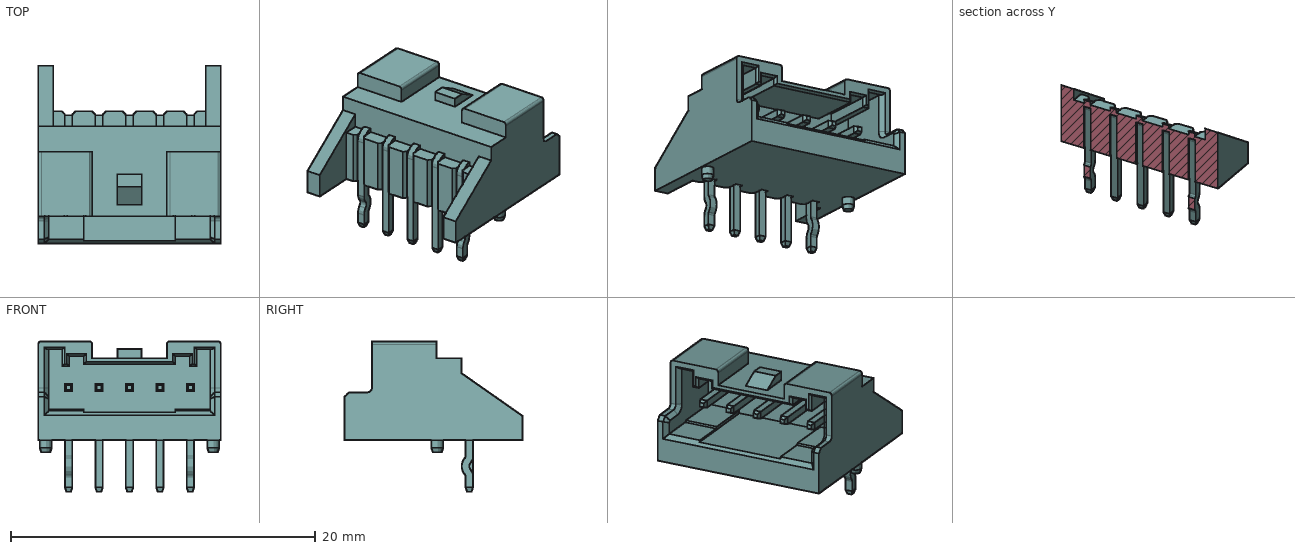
import cadquery as cq
import math


WIDTH = 12.0
LENGTH = 11.7
HALF_WIDTH = WIDTH / 2
EAR_TOP = 6.5
ROOF_TOP = 5.4
ROOF_FRONT = 1.8
EAR_BACK = 6.05
BODY_BACK = 7.7
LIP_TOP = 3.15
LIP_RELIEF = 0.3
EAR_GAP = 4.9
EAR_RADIUS = 0.2
WING_THICKNESS = 1.0
WING_FRONT_HEIGHT = 4.4
WING_BACK_HEIGHT = 1.6

LATCH_WIDTH = 1.6
LATCH_HEIGHT = 0.6
LATCH_FRONT = 2.55
LATCH_CREST = 3.75
LATCH_BACK = 4.55

CAVITY_HALF_WIDTH = 5.3
CAVITY_BACK = 5.8
FLOOR_Z = 1.83
FLOOR_STEP = 0.1
FLOOR_RAMP_FRONT = 2.55
CENTRE_HALF_WIDTH = 3.0
CENTRE_CEILING = 5.0
MID_CEILING = 5.52
SIDE_CEILING = 5.97
RIB_INNER = 3.97
RIB_WIDTH = 0.45
RIB_BOTTOM = 4.85
WALL_CHAMFER = 0.3
CEILING_CHAMFER = 0.15

PIN_COUNT = 5
PITCH = 2.0
PIN_SIZE = 0.5
PIN_Z = 3.47
PIN_FRONT = 2.4
TAIL_Y = 8.2
TAIL_BOTTOM = -3.4
TIP_LENGTH = 0.3
TIP_SIZE = 0.3
BEND_INNER_RADIUS = 0.25
KINK_Z = -1.71
KINK_DEPTH = 0.25
KINK_CREST_RADIUS = 0.85
KINK_ROOT_RADIUS = 0.2

COMB_BACK = 8.7
COMB_TOP = PIN_Z
COMB_CHAMFER = 0.2

PEG_DIAMETER = 0.8
PEG_LENGTH = 0.8
PEG_TIP_DIAMETER = 0.6
PEG_TIP_LENGTH = 0.3
PEG_X = 5.5
PEG_Y = 6.1

TOLERANCE = 1e-3

PIN_XS = [(i - (PIN_COUNT - 1) / 2) * PITCH for i in range(PIN_COUNT)]


def box(x0, x1, y0, y1, z0, z1):
    """Box between opposite corners."""
    return cq.Workplane("XY").box(x1 - x0, y1 - y0, z1 - z0, centered=False).translate((x0, y0, z0))


def yz_prism(sketch, x_centre, thickness):
    """Extrude a closed YZ outline symmetrically about x_centre."""
    return sketch.extrude(thickness / 2, both=True).translate((x_centre, 0, 0))


def make_body():
    """Main block with the stepped front lip."""
    outline = (
        cq.Workplane("YZ")
        .lineTo(BODY_BACK, 0)
        .lineTo(BODY_BACK, ROOF_TOP)
        .lineTo(ROOF_FRONT, ROOF_TOP)
        .lineTo(ROOF_FRONT, LIP_TOP + LIP_RELIEF)
        .radiusArc((ROOF_FRONT - LIP_RELIEF, LIP_TOP), LIP_RELIEF)
        .lineTo(LIP_RELIEF, LIP_TOP)
        .lineTo(0, LIP_TOP - LIP_RELIEF)
        .close()
    )
    return yz_prism(outline, 0, WIDTH)


def make_ear(side):
    """Raised block over one end of the roof, with rounded top edges."""
    ear_width = (WIDTH - EAR_GAP) / 2
    ear_centre = side * (HALF_WIDTH - ear_width / 2)
    ear = box(
        ear_centre - ear_width / 2, ear_centre + ear_width / 2,
        ROOF_FRONT, EAR_BACK, LIP_TOP + LIP_RELIEF, EAR_TOP,
    )
    return ear.edges("|Y and >Z").fillet(EAR_RADIUS)


def make_wing(side):
    """Sloping side plate behind the block."""
    outline = (
        cq.Workplane("YZ")
        .moveTo(BODY_BACK, 0)
        .lineTo(LENGTH, 0)
        .lineTo(LENGTH, WING_BACK_HEIGHT)
        .lineTo(BODY_BACK, WING_FRONT_HEIGHT)
        .close()
    )
    return yz_prism(outline, side * (HALF_WIDTH - WING_THICKNESS / 2), WING_THICKNESS)


def make_comb():
    """Rear wall between the wings, slotted around each tail."""
    reach = HALF_WIDTH - WING_THICKNESS
    comb = box(-reach, reach, BODY_BACK, COMB_BACK, 0, COMB_TOP)
    for x in PIN_XS:
        half_slot = PIN_SIZE / 2
        half_mouth = half_slot + COMB_CHAMFER
        slot = (
            cq.Workplane("XY")
            .moveTo(x - half_slot, BODY_BACK)
            .lineTo(x + half_slot, BODY_BACK)
            .lineTo(x + half_slot, COMB_BACK - COMB_CHAMFER)
            .lineTo(x + half_mouth, COMB_BACK)
            .lineTo(x - half_mouth, COMB_BACK)
            .lineTo(x - half_slot, COMB_BACK - COMB_CHAMFER)
            .close()
            .extrude(COMB_TOP)
        )
        comb = comb.cut(slot)
    return comb


def make_latch():
    """Ramped latch on the middle of the roof."""
    outline = (
        cq.Workplane("YZ")
        .moveTo(LATCH_FRONT, ROOF_TOP)
        .lineTo(LATCH_CREST, ROOF_TOP + LATCH_HEIGHT)
        .lineTo(LATCH_BACK, ROOF_TOP + LATCH_HEIGHT)
        .lineTo(LATCH_BACK, ROOF_TOP)
        .close()
    )
    return yz_prism(outline, 0, LATCH_WIDTH)


def make_cavity():
    """Mating cavity: stepped ceiling with two ribs, raised side floors."""
    half = CAVITY_HALF_WIDTH
    cavity = box(-half, half, 0, CAVITY_BACK, FLOOR_Z, CENTRE_CEILING)
    rib_outer = RIB_INNER + RIB_WIDTH
    for side in (-1, 1):
        side_floor = (
            cq.Workplane("YZ")
            .moveTo(0, FLOOR_Z)
            .lineTo(CAVITY_BACK, FLOOR_Z)
            .lineTo(CAVITY_BACK, FLOOR_Z + 2 * FLOOR_STEP)
            .lineTo(FLOOR_RAMP_FRONT + FLOOR_STEP, FLOOR_Z + 2 * FLOOR_STEP)
            .lineTo(FLOOR_RAMP_FRONT, FLOOR_Z + FLOOR_STEP)
            .lineTo(0, FLOOR_Z + FLOOR_STEP)
            .close()
        )
        floor_width = half - CENTRE_HALF_WIDTH
        cavity = cavity.cut(yz_prism(side_floor, side * (half - floor_width / 2), floor_width))
        for inner, outer, ceiling in (
            (CENTRE_HALF_WIDTH, RIB_INNER, MID_CEILING),
            (rib_outer, half, SIDE_CEILING),
        ):
            x0, x1 = sorted((side * inner, side * outer))
            cavity = cavity.union(box(x0, x1, 0, CAVITY_BACK, RIB_BOTTOM, ceiling))
        x0, x1 = sorted((side * RIB_INNER, side * rib_outer))
        cavity = cavity.cut(box(x0, x1, 0, CAVITY_BACK, RIB_BOTTOM, SIDE_CEILING))
    return cavity


def is_ceiling_rim(edge):
    """True for the edges where the stepped ceiling and its ribs meet the roof front."""
    bounds = edge.BoundingBox()
    centre = edge.Center()
    on_roof_front = max(abs(bounds.ymin - ROOF_FRONT), abs(bounds.ymax - ROOF_FRONT)) < TOLERANCE
    on_roof_edge = abs(centre.z - ROOF_TOP) < TOLERANCE and abs(centre.x) < TOLERANCE
    in_height = bounds.zmin > RIB_BOTTOM - TOLERANCE and bounds.zmax < SIDE_CEILING + TOLERANCE
    in_width = abs(centre.x) < CAVITY_HALF_WIDTH - TOLERANCE
    return on_roof_front and in_height and in_width and not on_roof_edge


def chamfer_ceiling(housing):
    """Narrow lead-in chamfer along the whole ceiling outline."""
    solid = housing.val()
    rim = [edge for edge in solid.Edges() if is_ceiling_rim(edge)]
    return cq.Workplane(solid.chamfer(CEILING_CHAMFER, None, rim))


def lip_clearance(x, growth):
    """YZ outline of the open space in front of a side wall, grown into the wall, at the given X."""
    back = ROOF_FRONT + growth
    lip = LIP_TOP - growth
    fillet = LIP_RELIEF + growth
    mitre = (math.sqrt(2) - 1) * growth
    return (
        cq.Workplane("YZ", origin=(x, 0, 0))
        .moveTo(growth, 0)
        .lineTo(growth, LIP_TOP - LIP_RELIEF - mitre)
        .lineTo(LIP_RELIEF + mitre, lip)
        .lineTo(back - fillet, lip)
        .radiusArc((back, lip + fillet), -fillet)
        .lineTo(back, EAR_TOP)
        .lineTo(-WALL_CHAMFER, EAR_TOP)
        .lineTo(-WALL_CHAMFER, 0)
        .close()
    )


def make_wall_flare(side):
    """Wide lead-in chamfer of one side wall, limited by the floor wedge and the ceiling chamfer."""
    inner_x = side * CAVITY_HALF_WIDTH
    outer_x = side * (CAVITY_HALF_WIDTH + WALL_CHAMFER)
    inner = lip_clearance(inner_x, WALL_CHAMFER).wires().val()
    outer = lip_clearance(outer_x, 0).wires().val()
    flare = cq.Workplane(cq.Solid.makeLoft([inner, outer], True))
    floor = FLOOR_Z + FLOOR_STEP
    height_limit = (
        cq.Workplane("YZ")
        .moveTo(-WALL_CHAMFER, floor - 2 * WALL_CHAMFER)
        .lineTo(WALL_CHAMFER, floor)
        .lineTo(CAVITY_BACK, floor)
        .lineTo(CAVITY_BACK, SIDE_CEILING)
        .lineTo(ROOF_FRONT + CEILING_CHAMFER, SIDE_CEILING)
        .lineTo(ROOF_FRONT, SIDE_CEILING + CEILING_CHAMFER)
        .lineTo(-WALL_CHAMFER, SIDE_CEILING + CEILING_CHAMFER)
        .close()
    )
    return flare.intersect(yz_prism(height_limit, 0, WIDTH))


def make_floor_wedge():
    """Lead-in chamfer along the front edge of the floor."""
    floor = FLOOR_Z + FLOOR_STEP
    wedge = (
        cq.Workplane("YZ")
        .moveTo(0, floor - WALL_CHAMFER)
        .lineTo(WALL_CHAMFER, floor)
        .lineTo(0, floor)
        .close()
    )
    return yz_prism(wedge, 0, 2 * CAVITY_HALF_WIDTH)


def add_kink(sketch, y, root_radius, crest_radius, direction):
    """Continue a tail face at Y through the forward kink; direction is -1 going down, 1 going up."""
    radius_sum = root_radius + crest_radius
    bend_angle = math.acos(1 - KINK_DEPTH / radius_sum)
    half_length = radius_sum * math.sin(bend_angle)
    crest_half = crest_radius * math.sin(bend_angle)
    crest_end_y = y - root_radius * (1 - math.cos(bend_angle))
    root_turn = direction * root_radius
    return (
        sketch.lineTo(y, KINK_Z - direction * half_length)
        .radiusArc((crest_end_y, KINK_Z - direction * crest_half), -root_turn)
        .threePointArc((y - KINK_DEPTH, KINK_Z), (crest_end_y, KINK_Z + direction * crest_half))
        .radiusArc((y, KINK_Z + direction * half_length), -root_turn)
    )


def make_pin(x, kinked):
    """Square pin bent from the mating end down to the solder tail."""
    half = PIN_SIZE / 2
    outer_radius = BEND_INNER_RADIUS + PIN_SIZE
    front = TAIL_Y - half
    back = TAIL_Y + half
    tail_end = TAIL_BOTTOM + TIP_LENGTH
    sketch = (
        cq.Workplane("YZ")
        .moveTo(PIN_FRONT + TIP_LENGTH, PIN_Z + half)
        .lineTo(back - outer_radius, PIN_Z + half)
        .radiusArc((back, PIN_Z + half - outer_radius), outer_radius)
    )
    if kinked:
        sketch = add_kink(sketch, back, KINK_ROOT_RADIUS + PIN_SIZE, KINK_CREST_RADIUS - PIN_SIZE, -1)
    sketch = sketch.lineTo(back, tail_end).lineTo(front, tail_end)
    if kinked:
        sketch = add_kink(sketch, front, KINK_ROOT_RADIUS, KINK_CREST_RADIUS, 1)
    sketch = (
        sketch.lineTo(front, PIN_Z - half - BEND_INNER_RADIUS)
        .radiusArc((front - BEND_INNER_RADIUS, PIN_Z - half), -BEND_INNER_RADIUS)
        .lineTo(PIN_FRONT + TIP_LENGTH, PIN_Z - half)
        .close()
    )
    front_plane = cq.Plane((0, PIN_FRONT + TIP_LENGTH, PIN_Z), xDir=(1, 0, 0), normal=(0, -1, 0))
    tail_plane = cq.Plane((0, TAIL_Y, tail_end), xDir=(1, 0, 0), normal=(0, 0, -1))
    pin = yz_prism(sketch, 0, PIN_SIZE)
    for plane in (front_plane, tail_plane):
        tip = (
            cq.Workplane(plane)
            .rect(PIN_SIZE, PIN_SIZE)
            .workplane(offset=TIP_LENGTH)
            .rect(TIP_SIZE, TIP_SIZE)
            .loft()
        )
        pin = pin.union(tip)
    return pin.translate((x, 0, 0))


def make_peg(x):
    """Round board-locating peg with a tapered end."""
    peg = cq.Workplane("XY").circle(PEG_DIAMETER / 2).extrude(-PEG_LENGTH)
    inset = (PEG_DIAMETER - PEG_TIP_DIAMETER) / 2
    peg = peg.faces("<Z").chamfer(PEG_TIP_LENGTH, inset)
    return peg.translate((x, PEG_Y, 0))


housing = make_body()
for side in (-1, 1):
    housing = housing.union(make_ear(side))
housing = chamfer_ceiling(housing.cut(make_cavity())).cut(make_floor_wedge())
for side in (-1, 1):
    housing = housing.cut(make_wall_flare(side))
    housing = housing.union(make_wing(side))
    housing = housing.union(make_peg(side * PEG_X))
housing = housing.union(make_comb()).union(make_latch())

result = housing
for x in PIN_XS:
    result = result.union(make_pin(x, kinked=x in (PIN_XS[0], PIN_XS[-1])))